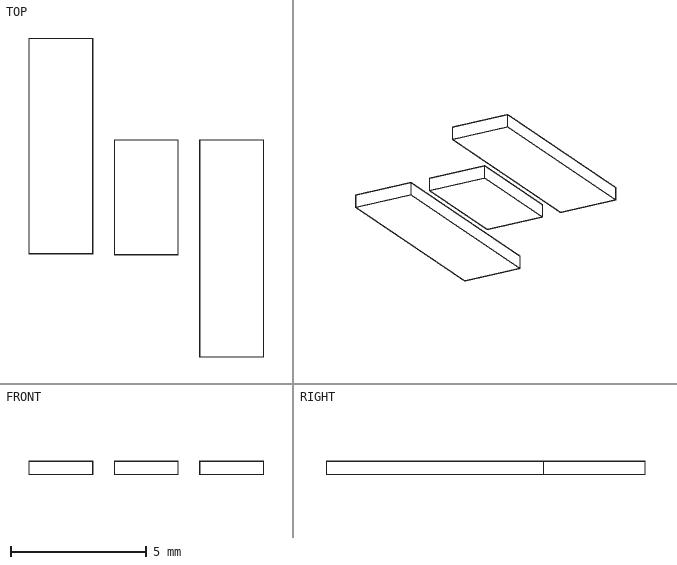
import cadquery as cq

total_width = 8.68
total_length = 11.8
thickness = 0.5
bar_width = 2.365

left_bar_length = 7.98
middle_bar_length = 4.26
right_bar_length = 8.045

bar_pitch = (total_width - bar_width) / 2
back_end = total_length / 2
front_end = -total_length / 2
shared_back_end = front_end + right_bar_length


def flat_bar(center_x, front_y, length):
    """Rectangular bar resting on the XY plane, running back from front_y."""
    return (
        cq.Workplane("XY")
        .box(bar_width, length, thickness, centered=(True, False, False))
        .translate((center_x, front_y, 0))
    )


left_bar = flat_bar(-bar_pitch, back_end - left_bar_length, left_bar_length)

middle_bar = flat_bar(0, shared_back_end - middle_bar_length, middle_bar_length)

right_bar = flat_bar(bar_pitch, front_end, right_bar_length)

result = cq.Compound.makeCompound([left_bar.val(), middle_bar.val(), right_bar.val()])